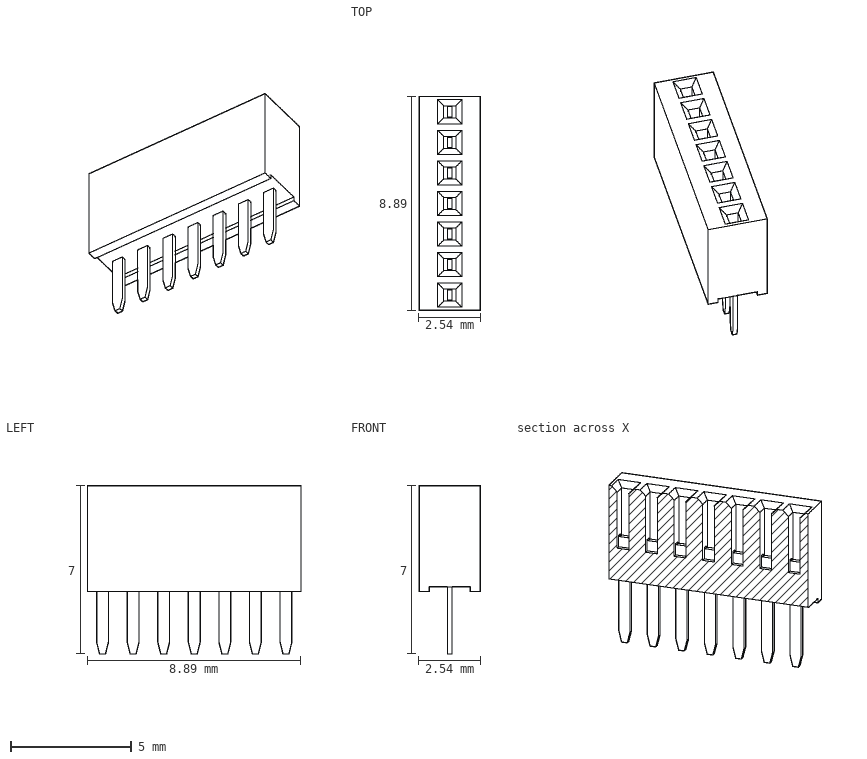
import cadquery as cq

contact_count = 7
pitch = 1.27

body_width = 2.54
body_length = contact_count * pitch
body_height = 4.4

channel_width = 1.69
channel_depth = 0.2

lead_in_size = 1.0
well_size = 0.5
lead_in_depth = (lead_in_size - well_size) / 2
well_depth = 2.5

pin_thickness = 0.2
pin_width = well_size
pin_tip_width = pin_width / 2
pin_tip_length = 0.5
pin_protrusion = 2.6
pin_rise = 0.5
pin_dish_depth = 0.04

well_floor = body_height - lead_in_depth - well_depth
first_contact_y = -(contact_count - 1) * pitch / 2


def make_housing():
    """Rectangular block with its underside at Z = 0 and a channel along Y."""
    block = cq.Workplane("XY").box(body_width, body_length, body_height, centered=(True, True, False))
    channel = cq.Workplane("XY").box(channel_width, body_length, channel_depth, centered=(True, True, False))
    return block.cut(channel)


def make_socket(y):
    """Void of one socket, open at the top of the housing."""
    lead_in = (
        cq.Workplane("XY", origin=(0, y, body_height - lead_in_depth))
        .rect(well_size, well_size)
        .workplane(offset=lead_in_depth)
        .rect(lead_in_size, lead_in_size)
        .loft(ruled=True)
    )
    well = (
        cq.Workplane("XY", origin=(0, y, well_floor))
        .rect(well_size, well_size)
        .extrude(well_depth)
    )
    return lead_in.union(well)


def make_pin(y):
    """One flat contact: a tapered tip below, a dished top inside the well."""
    half_width = pin_width / 2
    half_tip = pin_tip_width / 2
    half_dish = half_width - pin_dish_depth
    tip_z = -pin_protrusion
    taper_z = tip_z + pin_tip_length
    top_z = well_floor + pin_rise
    dish_z = top_z - pin_dish_depth
    return (
        cq.Workplane("YZ", origin=(0, y, 0))
        .moveTo(-half_tip, tip_z)
        .lineTo(half_tip, tip_z)
        .lineTo(half_width, taper_z)
        .lineTo(half_width, top_z)
        .lineTo(half_dish, dish_z)
        .lineTo(-half_dish, dish_z)
        .lineTo(-half_width, top_z)
        .lineTo(-half_width, taper_z)
        .close()
        .extrude(pin_thickness / 2, both=True)
    )


result = make_housing()
for index in range(contact_count):
    contact_y = first_contact_y + index * pitch
    result = result.cut(make_socket(contact_y)).union(make_pin(contact_y))